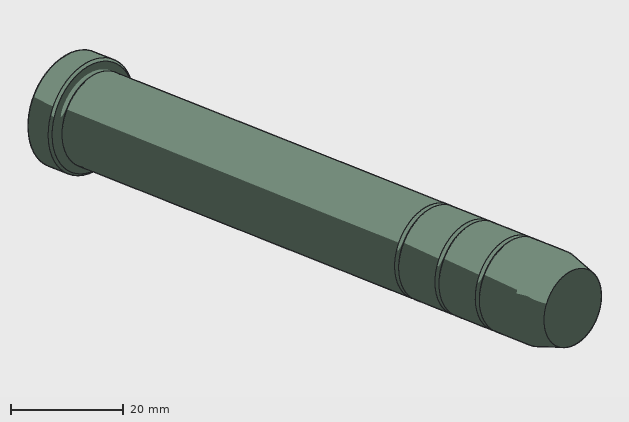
import cadquery as cq
import math

length = 125.0
head_diameter = 22.0
head_thickness = 6.0
head_chamfer = 0.5
shank_diameter = 18.0

taper_length = 6.0
taper_angle = 15.0

groove_width = 1.0
groove_depth = groove_width / 2
groove_pitch = 10.0
groove_count = 3
last_groove_from_tip = 15.0

head_radius = head_diameter / 2
shank_radius = shank_diameter / 2
tip_radius = shank_radius - taper_length * math.tan(math.radians(taper_angle))
head_face = -length / 2
shoulder = head_face + head_thickness
tip_face = length / 2


def add_groove(profile, start):
    """Continue the shank outline through one groove starting at the given X."""
    return profile.lineTo(start, shank_radius).threePointArc(
        (start + groove_width / 2, shank_radius - groove_depth),
        (start + groove_width, shank_radius),
    )


profile = (
    cq.Workplane("XZ")
    .moveTo(head_face, 0)
    .lineTo(head_face, head_radius - head_chamfer)
    .lineTo(head_face + head_chamfer, head_radius)
    .lineTo(shoulder - head_chamfer, head_radius)
    .lineTo(shoulder, head_radius - head_chamfer)
)

profile = add_groove(profile, shoulder)
first_groove = tip_face - last_groove_from_tip - (groove_count - 1) * groove_pitch
for index in range(groove_count):
    groove_center = first_groove + index * groove_pitch
    profile = add_groove(profile, groove_center - groove_width / 2)

profile = (
    profile.lineTo(tip_face - taper_length, shank_radius)
    .lineTo(tip_face, tip_radius)
    .lineTo(tip_face, 0)
    .close()
)

result = profile.revolve(360, (0, 0, 0), (1, 0, 0))